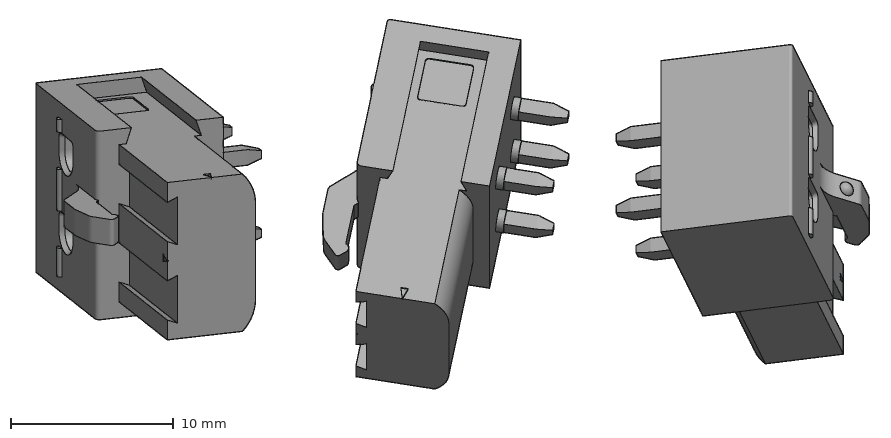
import cadquery as cq
import math

block_length = 10.68
block_depth = 8.32
block_height = 12.16
left_corner_radius = 0.19
right_corner_radius = 0.3
mid_z = block_height / 2

overall_length = 19.0
body_inset = 1.0
body_bottom = body_inset
body_top = block_height - body_inset
body_front = 1.48
body_back = 7.3
body_back_radius = 2.75
body_top_back = 6.42

groove_mouth = 2.53
groove_depth = 0.66
groove_undercut = 0.27
groove_offset = 2.53

slot_left = 1.22
slot_front = 2.28
slot_back = 6.54
slot_undercut = 0.35

label_size = 3.02
label_center_x = 3.23
label_center_y = 4.22
label_corner_radius = 0.23
label_depth = 0.1

mark_length = 0.78
mark_width = 0.45
mark_depth = 0.1
mark_center_y = 4.39

pin_pitch = 5.07
pin_first_x = 2.81
pin_collar_diameter = 1.42
pin_collar_length = 0.48
pin_width = 1.0
pin_tip_width = 0.51
pin_length = 3.48
pin_tip_length = 1.0
pin_rows_z = (mid_z - pin_pitch / 2, mid_z + pin_pitch / 2)

opening_center_x = 5.35
opening_radius = 1.24
opening_corner_radius = 0.38
opening_rise = 0.38
opening_depth = 1.37
opening_chamfer = 0.19
opening_chamfer_depth = 0.32

rib_center_x = 4.37
rib_width = 0.57
rib_height = 0.23
rib_gap = 2.4
rib_gap_rise = 0.51

latch_center_z = 6.88
latch_width = 1.67
latch_start_x = 7.18
latch_root_radius = 2.0
latch_slope_angle = math.radians(45)
latch_front = -1.9
latch_back = -0.11
latch_nose_x = 14.75
latch_nose_y = -0.48
latch_lip_x = 13.87
latch_lip_y = 0.11
latch_neck_rise = 0.23
latch_heel_x = 11.9
latch_shoulder_x = 13.57
latch_shoulder_y = -1.52
latch_toe_radius = 0.48
latch_heel_radius = 1.71
latch_shoulder_radius = 0.66
latch_nose_radius = 0.23
latch_lip_radius = 0.15

button_radius = 0.48
button_height = 0.28
button_center_x = 9.18


def make_block():
    block = cq.Workplane("XY").box(block_length, block_depth, block_height, centered=False)
    block = block.edges("|Z and <X and <Y").fillet(left_corner_radius)
    return block.edges("|Z and >X and <Y").fillet(right_corner_radius)


def make_body():
    arc_center_y = body_back - body_back_radius
    crease_rise = math.sqrt(body_back_radius**2 - (body_top_back - arc_center_y)**2)
    mid_angle = math.asin(crease_rise / body_back_radius) / 2
    mid_y = arc_center_y + body_back_radius * math.cos(mid_angle)
    mid_drop = crease_rise - body_back_radius * math.sin(mid_angle)
    body = (
        cq.Workplane("YZ", origin=(slot_left, 0, 0))
        .moveTo(body_front, body_bottom)
        .lineTo(body_top_back, body_bottom)
        .threePointArc((mid_y, body_bottom + mid_drop), (body_back, body_bottom + crease_rise))
        .lineTo(body_back, body_top - crease_rise)
        .threePointArc((mid_y, body_top - mid_drop), (body_top_back, body_top))
        .lineTo(body_front, body_top)
        .close()
        .extrude(overall_length - slot_left)
    )
    half_mouth = groove_mouth / 2
    half_floor = half_mouth + groove_undercut
    groove_floor = body_front + groove_depth
    for side in (-1, 1):
        center = mid_z + side * groove_offset
        groove = (
            cq.Workplane("YZ", origin=(block_length, 0, 0))
            .moveTo(body_front, center - half_mouth)
            .lineTo(groove_floor, center - half_floor)
            .lineTo(groove_floor, center + half_floor)
            .lineTo(body_front, center + half_mouth)
            .close()
            .extrude(overall_length - block_length)
        )
        body = body.cut(groove)
    return body


def make_slot():
    return (
        cq.Workplane("YZ", origin=(slot_left, 0, 0))
        .moveTo(slot_front, block_height)
        .lineTo(slot_front - slot_undercut, body_top)
        .lineTo(slot_back + slot_undercut, body_top)
        .lineTo(slot_back, block_height)
        .close()
        .extrude(block_length - slot_left)
    )


def make_label_recess():
    return (
        cq.Workplane("XY", origin=(label_center_x, label_center_y, body_top - label_depth))
        .rect(label_size, label_size)
        .extrude(label_depth)
        .edges("|Z")
        .fillet(label_corner_radius)
    )


def make_mark(plane, center, depth):
    """Triangle pointing at the right end of the body, sunk by the signed depth."""
    return (
        cq.Workplane(plane, origin=center)
        .moveTo(-mark_length, -mark_width / 2)
        .lineTo(0, 0)
        .lineTo(-mark_length, mark_width / 2)
        .close()
        .extrude(depth)
    )


def make_pin(x, z):
    collar = (
        cq.Workplane("XZ", origin=(x, 0, z))
        .circle(pin_collar_diameter / 2)
        .extrude(-(block_depth + pin_collar_length))
    )
    shank_end = block_depth + pin_length - pin_tip_length
    shank = (
        cq.Workplane("XZ", origin=(x, block_depth, z))
        .rect(pin_width, pin_width)
        .extrude(block_depth - shank_end)
    )
    tip = (
        cq.Workplane("XZ", origin=(x, shank_end, z))
        .rect(pin_width, pin_width)
        .workplane(offset=-pin_tip_length)
        .rect(pin_tip_width, pin_tip_width)
        .loft()
    )
    return collar.union(shank).union(tip)


def opening_outline(center_z, y, inset):
    """D outline at depth y: square top with rounded corners, round bottom."""
    radius = opening_radius - inset
    corner = opening_corner_radius - inset
    diagonal = corner * (1 - math.sqrt(0.5))
    return (
        cq.Workplane("XZ", origin=(opening_center_x, y, center_z))
        .moveTo(-radius, 0)
        .threePointArc((0, -radius), (radius, 0))
        .lineTo(radius, radius - corner)
        .threePointArc((radius - diagonal, radius - diagonal), (radius - corner, radius))
        .lineTo(corner - radius, radius)
        .threePointArc((diagonal - radius, radius - diagonal), (-radius, radius - corner))
        .close()
    )


def make_opening(pin_z):
    center_z = pin_z + opening_rise
    well = opening_outline(center_z, 0, opening_chamfer).extrude(-opening_depth)
    mouth_wire = opening_outline(center_z, 0, 0).wires().val()
    throat_wire = opening_outline(center_z, opening_chamfer_depth, opening_chamfer).wires().val()
    mouth = cq.Solid.makeLoft([mouth_wire, throat_wire], True)
    return well.union(cq.Workplane(mouth))


def make_rib():
    rib = (
        cq.Workplane("XY", origin=(rib_center_x, 0, body_bottom))
        .moveTo(-rib_width / 2, 0)
        .threePointArc((0, -rib_height), (rib_width / 2, 0))
        .close()
        .extrude(body_top - body_bottom)
    )
    for z in pin_rows_z:
        gap = cq.Workplane("XY").box(2 * rib_width, 2 * rib_width, rib_gap)
        rib = rib.cut(gap.translate((rib_center_x, 0, z + rib_gap_rise)))
    return rib


def make_latch():
    half_angle = latch_slope_angle / 2
    root_end_x = latch_start_x + latch_root_radius * math.sin(latch_slope_angle)
    root_end_y = -latch_root_radius * (1 - math.cos(latch_slope_angle))
    root_mid = (
        latch_start_x + latch_root_radius * math.sin(half_angle),
        -latch_root_radius * (1 - math.cos(half_angle)),
    )
    toe = (root_end_x + root_end_y - latch_front, latch_front)
    heel = (latch_heel_x, latch_front)
    shoulder = (latch_shoulder_x, latch_shoulder_y)
    nose = (latch_nose_x, latch_nose_y)
    lip_right = (latch_nose_x - (latch_lip_y - latch_nose_y), latch_lip_y)
    lip_left = (latch_lip_x, latch_lip_y)
    lip_foot = (lip_left[0] - (latch_lip_y - latch_back), latch_back)
    neck = (block_length + latch_neck_rise, latch_back)
    neck_top = (block_length, latch_back + latch_neck_rise)
    bottom_z = latch_center_z - latch_width / 2
    latch = (
        cq.Workplane("XY", origin=(0, 0, bottom_z))
        .moveTo(latch_start_x, 0)
        .threePointArc(root_mid, (root_end_x, root_end_y))
        .polyline([toe, heel, shoulder, nose, lip_right, lip_left, lip_foot, neck, neck_top],
                  includeCurrent=True)
        .lineTo(latch_start_x, neck_top[1])
        .close()
        .extrude(latch_width)
    )
    rounded_corners = (
        (toe, latch_toe_radius),
        (heel, latch_heel_radius),
        (shoulder, latch_shoulder_radius),
        (nose, latch_nose_radius),
        (lip_right, latch_lip_radius),
    )
    for (x, y), radius in rounded_corners:
        edge = cq.selectors.NearestToPointSelector((x, y, latch_center_z))
        latch = latch.edges("|Z").edges(edge).fillet(radius)

    dome_radius = (button_radius**2 + button_height**2) / (2 * button_height)
    sink = (dome_radius - button_height) * math.sin(latch_slope_angle)
    button_y = root_end_y - (button_center_x - root_end_x)
    button = cq.Workplane("XY").sphere(dome_radius)
    button = button.translate((button_center_x + sink, button_y + sink, latch_center_z))
    return latch.union(button)


result = make_block().cut(make_slot()).union(make_body())
result = result.cut(make_label_recess())
result = result.cut(make_mark("XY", (overall_length, mark_center_y, body_top), -mark_depth))
result = result.cut(make_mark("XZ", (overall_length, body_front, mid_z), -mark_depth))
for row_z in pin_rows_z:
    result = result.cut(make_opening(row_z))
result = result.union(make_rib()).union(make_latch())

for row_z in pin_rows_z:
    for pin_x in (pin_first_x, pin_first_x + pin_pitch):
        result = result.union(make_pin(pin_x, row_z), clean=False)